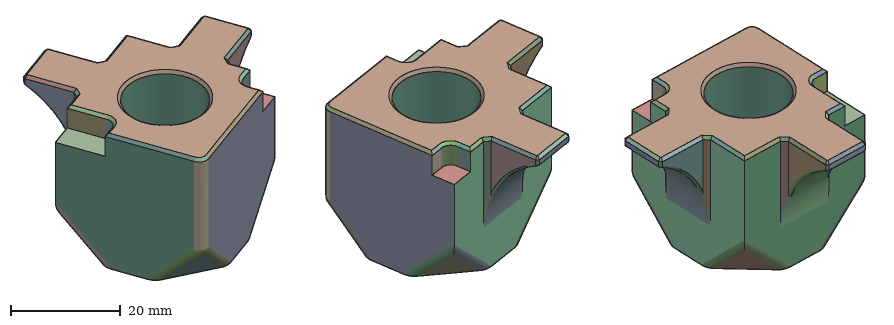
import cadquery as cq

cube_size = 30.0
half = cube_size / 2
edge_radius = 2.0
corner_cut = 10.0
top_chamfer = 0.6

arm_width = 10.0
arm_reach_x = 41.4 - cube_size
arm_reach_y = 41.55 - cube_size
arm_gusset = 1.0
arm_root = 2.5
arm_arc_radius = 20.0
arm_arc_start = 10.0
arm_tip_chamfer = 0.5
arm_underside_radius = 0.5

pocket_depth = 5.0
pocket_long = 10.0
pocket_short = 5.0

bore_diameter = 16.2
bridge_width = 8.0
bridge_thickness = 5.0
bridge_overlap = 0.4
cone_base_diameter = 5.0
cone_tip_diameter = 1.2
cone_height = 5.0


def corner_pyramid(sign_x, sign_y):
    """Three-sided pyramid that fills one bottom corner of the cube."""
    corner = cq.Vector(sign_x * half, sign_y * half, 0)
    along_x = corner - cq.Vector(sign_x * corner_cut, 0, 0)
    along_y = corner - cq.Vector(0, sign_y * corner_cut, 0)
    along_z = corner + cq.Vector(0, 0, corner_cut)
    triangles = [
        (corner, along_x, along_y),
        (corner, along_y, along_z),
        (corner, along_z, along_x),
        (along_x, along_y, along_z),
    ]
    faces = [cq.Face.makeFromWires(cq.Wire.makePolygon(points, close=True)) for points in triangles]
    return cq.Workplane(cq.Solid.makeSolid(cq.Shell.makeShell(faces)))


def is_slanted(face):
    return -0.9 < face.normalAt().z < -0.1


def make_cube():
    """Cube with cut bottom corners and one rounded upright edge."""
    cube = cq.Workplane().box(cube_size, cube_size, cube_size, centered=(True, True, False))
    for sign_x in (-1, 1):
        for sign_y in (-1, 1):
            cube = cube.cut(corner_pyramid(sign_x, sign_y))

    cut_edges = []
    for face in filter(is_slanted, cube.faces().vals()):
        cut_edges += cq.Workplane(face).edges("not(<Z)").vals()
    upright_edges = cube.edges("|Z").edges(">X and <Y").vals()
    return cube.newObject(cut_edges + upright_edges).fillet(edge_radius)


def make_arm(reach):
    """Arm along -X from a cube face at X = 0; its flared root is buried in the cube."""
    half_width = arm_width / 2
    root_half_width = half_width + arm_gusset + arm_root
    blank = (
        cq.Workplane()
        .workplane(offset=arm_arc_start)
        .moveTo(arm_root, -root_half_width)
        .lineTo(-arm_gusset, -half_width)
        .lineTo(-reach, -half_width)
        .lineTo(-reach, half_width)
        .lineTo(-arm_gusset, half_width)
        .lineTo(arm_root, root_half_width)
        .close()
        .extrude(cube_size - arm_arc_start)
    )
    undercut = (
        cq.Workplane("XZ")
        .center(-arm_arc_radius, arm_arc_start)
        .circle(arm_arc_radius)
        .extrude(root_half_width, both=True)
    )
    arm = blank.edges("|Z and <X").chamfer(arm_tip_chamfer).cut(undercut)
    underside_edges = arm.faces("%CYLINDER").edges("not(<Z)").vals()
    return arm.newObject(underside_edges).fillet(arm_underside_radius)


def make_pocket(length_x, length_y):
    """Volume of a pocket in the -X -Y top corner, with one rounded inner edge."""
    return (
        cq.Workplane()
        .box(length_x, length_y, pocket_depth, centered=False)
        .edges("|Z and >X and >Y")
        .fillet(edge_radius)
        .translate((-half, -half, cube_size - pocket_depth))
    )


def turned(shape, angle):
    """Shape rotated about the Z axis."""
    return shape.rotate((0, 0, 0), (0, 0, 1), angle)


arm_x = make_arm(arm_reach_x).translate((-half, 0, 0))
arm_y = turned(make_arm(arm_reach_y).translate((-half, 0, 0)), -90)
front_pocket = make_pocket(pocket_long, pocket_short)
rear_pocket = turned(make_pocket(pocket_short, pocket_short), 180)
bore = cq.Workplane().circle(bore_diameter / 2).extrude(cube_size)

body = make_cube().union(arm_x).union(arm_y)
body = body.cut(front_pocket).cut(rear_pocket).cut(bore)
body = body.faces(">Z").edges().chamfer(top_chamfer)

bridge_length = bore_diameter + 2 * bridge_overlap
bridge = cq.Workplane().box(bridge_length, bridge_width, bridge_thickness, centered=(True, True, False))
cone = cq.Workplane(
    cq.Solid.makeCone(cone_base_diameter / 2, cone_tip_diameter / 2, cone_height)
).translate((0, 0, bridge_thickness))

result = body.union(bridge).union(cone)